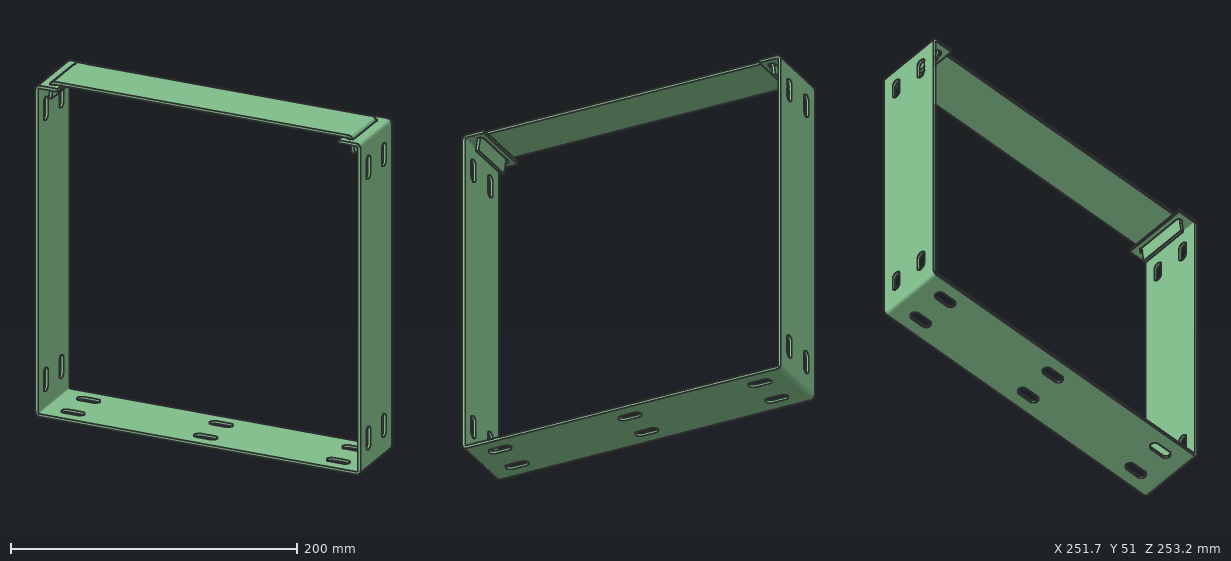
import cadquery as cq
import math

sheet = 2.3
bend_radius = 3.5
inner_bend_radius = bend_radius - sheet

frame_width = 251.7
frame_depth = 51.0
flange_length = 17.2

overall_height = 253.2
strip_depth = 38.5
bend_start_inset = 12.5
leg_lean = 8.0
leg_reach = 13.2

leg_slot_width = 5.3
leg_slot_length = 41.5
leg_slot_inset = 11.0

fixing_slot_width = 7.0
fixing_slot_length = 17.5
fixing_slot_pitch = 25.3
upper_slot_drop = 24.5
lower_slot_rise = 23.5
bottom_slot_inset = 23.3

frame_height = overall_height - sheet
half_width = frame_width / 2
flange_bottom_z = frame_height - sheet
bend_start_x = half_width - bend_start_inset
bend_centre_z = overall_height - bend_radius
leg_tip_z = overall_height - leg_reach
slot_rows = (-fixing_slot_pitch / 2, fixing_slot_pitch / 2)


def rounded_block(margin, corner_radius):
    """Block with rounded bend edges, set in from the frame's outside by margin."""
    width = frame_width - 2 * margin
    height = frame_height - 2 * margin
    block = cq.Workplane("XY").box(width, frame_depth, height)
    return block.edges("|Y").fillet(corner_radius).translate((0, 0, frame_height / 2))


def top_opening():
    """Gap between the ends of the two flanges."""
    return (
        cq.Workplane("XY", origin=(0, 0, flange_bottom_z))
        .rect(frame_width - 2 * flange_length, frame_depth)
        .extrude(sheet)
    )


def side_slots():
    """Upright fixing slots, running through both sides."""
    slot_heights = (lower_slot_rise, overall_height - upper_slot_drop)
    return (
        cq.Workplane("YZ")
        .pushPoints([(y, z) for y in slot_rows for z in slot_heights])
        .slot2D(fixing_slot_length, fixing_slot_width, 90)
        .extrude(half_width, both=True)
    )


def bottom_slots():
    """Lengthwise fixing slots in the bottom, at the middle and near both ends."""
    end_x = half_width - bottom_slot_inset
    return (
        cq.Workplane("XY")
        .pushPoints([(x, y) for x in (-end_x, 0, end_x) for y in slot_rows])
        .slot2D(fixing_slot_length, fixing_slot_width)
        .extrude(sheet)
    )


def leg_slots():
    """One slot across each flange for a leg of the strip."""
    slot_x = half_width - leg_slot_inset
    return (
        cq.Workplane("XY", origin=(0, 0, flange_bottom_z))
        .pushPoints([(-slot_x, 0), (slot_x, 0)])
        .slot2D(leg_slot_length, leg_slot_width, 90)
        .extrude(sheet)
    )


def make_frame():
    shell = rounded_block(0, bend_radius).cut(rounded_block(sheet, inner_bend_radius))
    return shell.cut(top_opening()).cut(side_slots()).cut(bottom_slots()).cut(leg_slots())


def on_bend(radius, angle):
    """Point on the strip's right-hand bend, with the angle measured up from horizontal."""
    return (
        bend_start_x + radius * math.cos(angle),
        bend_centre_z + radius * math.sin(angle),
    )


def make_strip():
    """Bar whose ends bend down through the flanges into legs that lean outwards."""
    lean = math.radians(leg_lean)
    mid_bend = (math.pi / 2 + lean) / 2
    outer_end = on_bend(bend_radius, lean)
    inner_end = on_bend(inner_bend_radius, lean)
    leg_drop = outer_end[1] - leg_tip_z
    leg_shift = leg_drop * math.tan(lean)

    half_strip = (
        cq.Workplane("XZ", origin=(0, strip_depth / 2, 0))
        .moveTo(0, overall_height)
        .lineTo(bend_start_x, overall_height)
        .threePointArc(on_bend(bend_radius, mid_bend), outer_end)
        .lineTo(outer_end[0] + leg_shift, leg_tip_z)
        .lineTo(inner_end[0] + leg_shift, inner_end[1] - leg_drop)
        .lineTo(*inner_end)
        .threePointArc(on_bend(inner_bend_radius, mid_bend), (bend_start_x, frame_height))
        .lineTo(0, frame_height)
        .close()
        .extrude(strip_depth)
    )
    return half_strip.union(half_strip.mirror("YZ"))


frame = make_frame()
strip = make_strip()
result = cq.Compound.makeCompound([frame.val(), strip.val()])